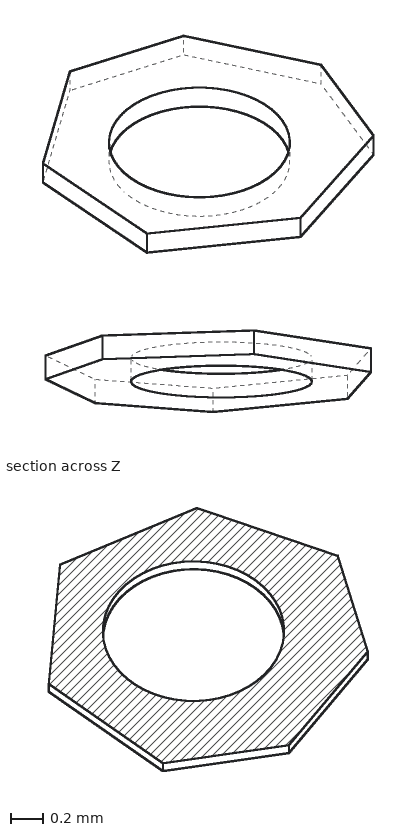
import cadquery as cq

width = 2.01
depth = 2.0
thickness = 0.15
bore_diameter = 1.13

top_y = 1.005
bottom_y = top_y - depth
top_edge_length = 0.909
shoulder_y = 0.425
lower_width = 1.705
lower_y = -0.527

right_corners = [
    (top_edge_length / 2, top_y),
    (width / 2, shoulder_y),
    (lower_width / 2, lower_y),
]
left_corners = [(-x, y) for x, y in reversed(right_corners)]
outline = right_corners + [(0, bottom_y)] + left_corners

plate = cq.Workplane("XY").polyline(outline).close().extrude(thickness)
bore = cq.Workplane("XY").circle(bore_diameter / 2).extrude(thickness)

result = plate.cut(bore)